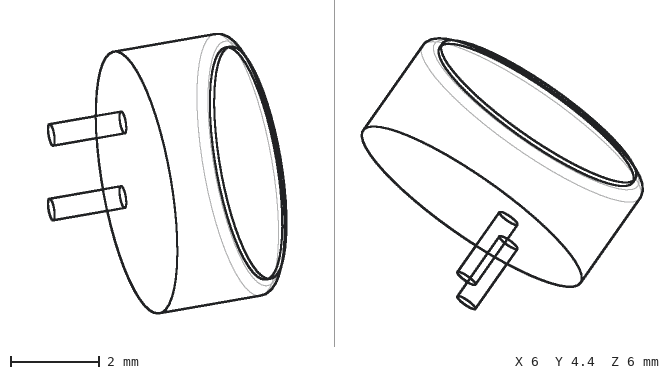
import cadquery as cq

can_diameter = 6.0
can_depth = 2.6
rim_fillet = 0.2

disc_diameter = 5.32
disc_height = 0.1

pin_diameter = 0.5
pin_length = 1.7
pin_spacing = can_diameter / 3
pin_x = -pin_spacing / 2


def cylinder_along_y(diameter, start_y, length, x=0, z=0):
    """Solid cylinder running from start_y towards +Y."""
    return cq.Workplane(
        cq.Solid.makeCylinder(diameter / 2, length, cq.Vector(x, start_y, z), cq.Vector(0, 1, 0))
    )


can = cylinder_along_y(can_diameter, 0, can_depth)
can = can.faces(">Y").edges().fillet(rim_fillet)

result = can.union(cylinder_along_y(disc_diameter, can_depth, disc_height))

for pin_z in (-pin_spacing / 2, pin_spacing / 2):
    pin = cylinder_along_y(pin_diameter, -pin_length, pin_length, pin_x, pin_z)
    result = result.union(pin)